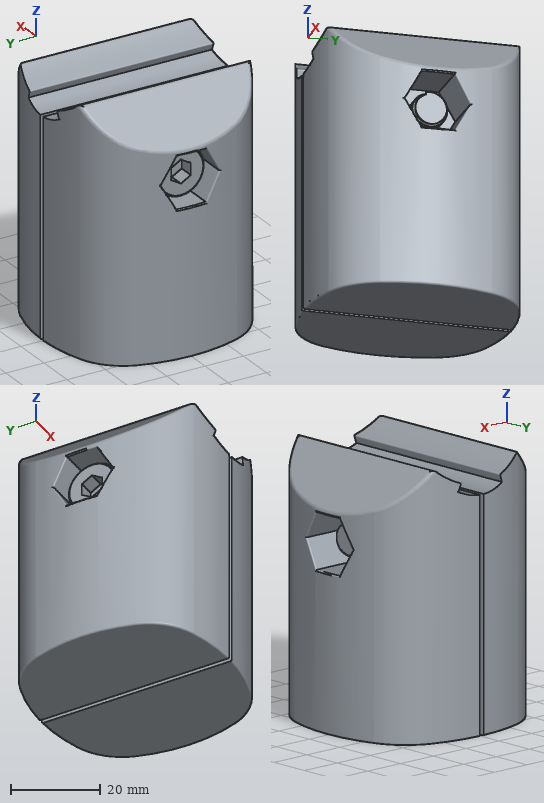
import cadquery as cq
import math

height = 63.0
width = 49.0
side_radius = 40.0
corner_radius = 15.0
gap = 1.2
bevel_round = 1.0
crest_round = 0.9
base_round = 0.5

lower_radius = 14.0
lower_center_z = 69.8
lower_half_width = 6.6
upper_radius = 19.0
upper_center_z = 77.45
upper_half_width = 5.9
lip_round = 0.3

screw_z = 44.0
pocket_flats = 13.3
pocket_floor = 11.65
pocket_round = 0.3

head_diameter = 12.5
head_height = 8.0
head_chamfer = 0.45
socket_flats = 5.15
socket_depth = 4.0
shank_length = 30.0
thread_diameter = 8.0
thread_depth = 0.45
thread_pitch = 1.25
thread_start = -3 * thread_pitch
ridge_width = 0.9 * thread_pitch
ridge_sink = 0.01

crest_z = height - crest_round
crest_reach = upper_radius + crest_round
crest_x = math.sqrt(crest_reach**2 - (upper_center_z - crest_z)**2)
bevel_apex = crest_x + crest_z + crest_round * math.sqrt(2)

head_face_x = -pocket_floor - head_height
half_width = width / 2


def corner_to_corner(flats):
    """Distance across the corners of a hexagon."""
    return flats / math.cos(math.pi / 6)


def hexagon_x(flats, start, end):
    """Hexagonal prism on the screw axis, with flats facing up and down."""
    plane = cq.Workplane("YZ", origin=(start, 0, screw_z))
    return plane.polygon(6, corner_to_corner(flats)).extrude(end - start)


def cylinder_x(diameter, start, end):
    """Cylinder on the screw axis between two X positions."""
    return cq.Workplane("YZ", origin=(start, 0, screw_z)).circle(diameter / 2).extrude(end - start)


def column():
    """Four bulged side arcs joined tangentially by four corner arcs, extruded upward."""
    side_center = side_radius - half_width
    center_distance = side_radius - corner_radius
    c = (math.sqrt(2 * center_distance**2 - side_center**2) - side_center) / 2
    near = c * side_radius / center_distance
    far = (c + side_center) * side_radius / center_distance - side_center
    diagonal = c + corner_radius / math.sqrt(2)
    return (
        cq.Workplane("XY")
        .moveTo(-near, far)
        .threePointArc((0, half_width), (near, far))
        .threePointArc((diagonal, diagonal), (far, near))
        .threePointArc((half_width, 0), (far, -near))
        .threePointArc((diagonal, -diagonal), (near, -far))
        .threePointArc((0, -half_width), (-near, -far))
        .threePointArc((-diagonal, -diagonal), (-far, -near))
        .threePointArc((-half_width, 0), (-far, near))
        .threePointArc((-diagonal, diagonal), (-near, far))
        .close()
        .extrude(bevel_apex)
    )


def left_side():
    """Prism along Y between the split face and the bevel plane of the left jaw."""
    return (
        cq.Workplane("XZ")
        .moveTo(-gap / 2, 0)
        .lineTo(-gap / 2, bevel_apex - gap / 2)
        .lineTo(-width, bevel_apex - width)
        .lineTo(-width, 0)
        .close()
        .extrude(width, both=True)
    )


def cradle_point(x, radius, center_z):
    """Point of the left jaw on the lower half of a cradle circle, x away from the split plane."""
    return (-x, center_z - math.sqrt(radius**2 - x**2))


def cradle_cutter():
    """Prism along Y that hollows the stepped cradle and rounds the crest of the left jaw."""

    def lower(x):
        return cradle_point(x, lower_radius, lower_center_z)

    def upper(x):
        return cradle_point(x, upper_radius, upper_center_z)

    cradle_end = crest_x * upper_radius / crest_reach
    bevel_offset = crest_round / math.sqrt(2)
    bevel_touch = (-crest_x - bevel_offset, crest_z + bevel_offset)
    cutter = (
        cq.Workplane("XZ")
        .moveTo(*lower(0))
        .threePointArc(lower(lower_half_width / 2), lower(lower_half_width))
        .lineTo(*upper(upper_half_width))
        .threePointArc(upper((upper_half_width + cradle_end) / 2), upper(cradle_end))
        .threePointArc((-crest_x, height), bevel_touch)
        .lineTo(bevel_touch[0], bevel_apex)
        .lineTo(0, bevel_apex)
        .close()
        .extrude(width, both=True)
    )
    lip_x, lip_z = upper(upper_half_width)
    lip = cutter.edges(cq.selectors.NearestToPointSelector((lip_x, 0, lip_z)))
    return lip.fillet(lip_round)


def pocket_mouth():
    """Selector for the edges where the hexagonal pocket opens through the outer side."""
    reach = corner_to_corner(pocket_flats) / 2 + pocket_round
    rise = pocket_flats / 2 + pocket_round / 2
    return cq.selectors.BoxSelector(
        (-width, -reach, screw_z - rise), (head_face_x, reach, screw_z + rise)
    )


def make_left_jaw():
    """Left clamping jaw with bevel, hexagonal pocket, screw bore and half of the cradle."""
    jaw = column().intersect(left_side())
    jaw = jaw.faces("<(1,0,-1)").edges("not |Y").fillet(bevel_round)
    jaw = jaw.faces("<Z").edges("not |Y").fillet(base_round)
    jaw = jaw.cut(hexagon_x(pocket_flats, -width, -pocket_floor))
    jaw = jaw.edges(pocket_mouth()).edges("not |X").fillet(pocket_round)
    jaw = jaw.cut(cylinder_x(thread_diameter, -pocket_floor, 0))
    return jaw.cut(cradle_cutter())


def thread_ridge(core_radius, start, end):
    """Right-handed helical ridge of triangular section around the screw axis."""
    root = core_radius - ridge_sink
    helix = cq.Wire.makeHelix(thread_pitch, end - start, core_radius)
    ridge = (
        cq.Workplane("XZ")
        .moveTo(root, -ridge_width / 2)
        .lineTo(thread_diameter / 2, 0)
        .lineTo(root, ridge_width / 2)
        .close()
        .sweep(cq.Workplane(obj=helix), isFrenet=True)
        .rotate((0, 0, 0), (0, 1, 0), 90)
        .translate((start, 0, screw_z))
    )
    return ridge.intersect(cylinder_x(head_diameter, start - thread_pitch, end))


def make_screw():
    """Socket head screw whose thread crests fit the bores of the jaws."""
    tip = shank_length - pocket_floor
    core_radius = thread_diameter / 2 - thread_depth
    head = cylinder_x(head_diameter, head_face_x, -pocket_floor)
    head = head.faces("<X").chamfer(head_chamfer)
    socket = hexagon_x(socket_flats, head_face_x, head_face_x + socket_depth)
    socket = socket.rotate((0, 0, screw_z), (1, 0, screw_z), 30)
    shank = cylinder_x(thread_diameter, -pocket_floor, thread_start)
    core = cylinder_x(2 * core_radius, thread_start, tip)
    ridge = thread_ridge(core_radius, thread_start, tip)
    return head.cut(socket).union(shank).union(core).union(ridge)


left_jaw = make_left_jaw()
right_jaw = left_jaw.mirror("YZ")
screw = make_screw()

result = cq.Compound.makeCompound([left_jaw.val(), right_jaw.val(), screw.val()])